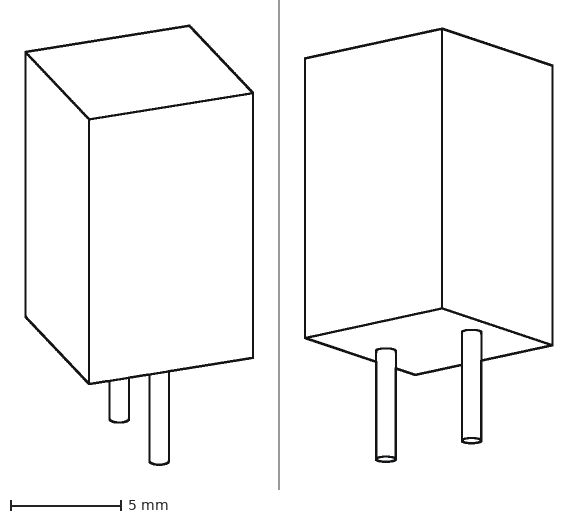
import cadquery as cq

total_height = 18.3
housing_width = 8.0
housing_height = 13.2

pin_diameter = 0.9
pin_spacing = 5.0
pin_length = total_height - housing_height


def make_housing():
    """Square block standing on the plane Z = 0."""
    return cq.Workplane("XY").box(
        housing_width, housing_width, housing_height, centered=(True, True, False)
    )


def make_pin(x):
    """Round pin hanging from the underside of the housing."""
    return cq.Workplane("XY").center(x, 0).circle(pin_diameter / 2).extrude(-pin_length)


housing = make_housing()
pins = [make_pin(side * pin_spacing / 2) for side in (-1, 1)]

result = cq.Compound.makeCompound([housing.val(), *[pin.val() for pin in pins]])